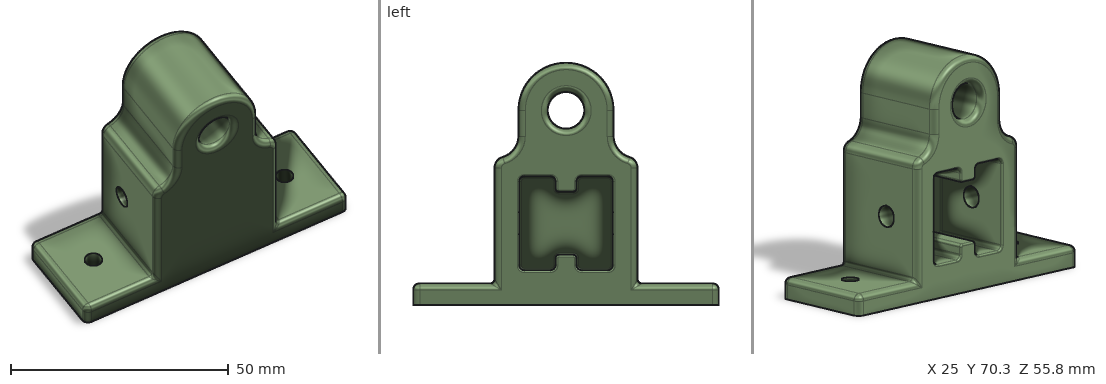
import cadquery as cq
import math

thickness = 25.0
base_length = 70.3
overall_height = 55.75

base_height = 5.05
base_hole_diameter = 4.0
base_hole_spacing = 51.2

tower_width = 32.9
head_radius = 11.0
bore_diameter = 8.4
bore_height = overall_height - head_radius

neck_bottom = 38.9
neck_radius = 5.0
shoulder_radius = 2.6

edge_radius = 1.55
foot_radius = 0.9

pocket_size = 21.6
pocket_depth = 20.0
pocket_height = 18.85
pocket_corner_radius = 1.2
key_corner_radius = 0.7
pocket_edge_radius = 0.46
key_width = 4.8
key_length = 3.5
screw_hole_diameter = 5.0

face_x = -thickness / 2

selection_margin = 0.35


def make_body():
    """Base, tower and head as one extruded outline, with all outer edges rounded."""
    half_base = base_length / 2
    half_tower = tower_width / 2

    neck_y = head_radius + neck_radius
    shoulder_y = half_tower - shoulder_radius
    centre_distance = neck_radius + shoulder_radius
    shoulder_z = neck_bottom - math.sqrt(centre_distance**2 - (neck_y - shoulder_y) ** 2)
    touch_angle = math.atan2(neck_bottom - shoulder_z, neck_y - shoulder_y)

    def on_neck(angle):
        return (neck_y + neck_radius * math.cos(angle), neck_bottom + neck_radius * math.sin(angle))

    def on_shoulder(angle):
        return (shoulder_y + shoulder_radius * math.cos(angle), shoulder_z + shoulder_radius * math.sin(angle))

    def mirrored(point):
        return (-point[0], point[1])

    touch = on_shoulder(touch_angle)
    shoulder_middle = on_shoulder(touch_angle / 2)
    neck_middle = on_neck(math.pi + touch_angle / 2)

    body = (
        cq.Workplane("YZ", origin=(face_x, 0, 0))
        .moveTo(-half_base, 0)
        .lineTo(half_base, 0)
        .lineTo(half_base, base_height)
        .lineTo(half_tower, base_height)
        .lineTo(half_tower, shoulder_z)
        .threePointArc(shoulder_middle, touch)
        .threePointArc(neck_middle, (head_radius, neck_bottom))
        .lineTo(head_radius, bore_height)
        .threePointArc((0, overall_height), (-head_radius, bore_height))
        .lineTo(-head_radius, neck_bottom)
        .threePointArc(mirrored(neck_middle), mirrored(touch))
        .threePointArc(mirrored(shoulder_middle), (-half_tower, shoulder_z))
        .lineTo(-half_tower, base_height)
        .lineTo(-half_base, base_height)
        .close()
        .extrude(thickness)
    )
    outline_edges = body.faces("<X or >X").edges("not <Z")
    end_edges = body.faces("<Y or >Y").edges("|X").edges("not <Z")
    return outline_edges.add(end_edges).fillet(edge_radius)


def edges_within(half_size, height):
    """Select edges whose centres lie in a square, half_size each way, around the given height."""
    reach = half_size + selection_margin
    return cq.selectors.BoxSelector((-thickness, -reach, height - reach), (thickness, reach, height + reach))


def round_foot(body):
    """Fillet the inner corners where the tower stands on the base."""
    corners = edges_within(tower_width / 2, base_height)
    return body.edges("|X").edges(corners).edges("<Z").fillet(foot_radius)


def make_pocket():
    """Square cavity with a key on its top and bottom walls."""
    mouth = cq.Workplane("YZ", origin=(face_x, 0, pocket_height))
    cavity = mouth.rect(pocket_size, pocket_size).extrude(pocket_depth)
    for side in (-1, 1):
        key_middle = side * (pocket_size - key_length) / 2
        cavity = cavity.cut(mouth.center(0, key_middle).rect(key_width, key_length).extrude(pocket_depth))
    cavity = cavity.faces("<Z or >Z").edges("|X").fillet(pocket_corner_radius)
    key_tips = edges_within(pocket_size / 2 - key_length, pocket_height)
    cavity = cavity.edges("|X").edges(key_tips).fillet(key_corner_radius)
    return cavity.faces(">X").edges().fillet(pocket_edge_radius)


def make_holes():
    """Vertical base holes and the cross hole through both pocket walls."""
    base_holes = (
        cq.Workplane("XY")
        .pushPoints([(0, side * base_hole_spacing / 2) for side in (-1, 1)])
        .circle(base_hole_diameter / 2)
        .extrude(base_height)
    )
    screw_hole = (
        cq.Workplane("XZ", origin=(face_x + pocket_depth / 2, 0, pocket_height))
        .circle(screw_hole_diameter / 2)
        .extrude(tower_width / 2, both=True)
    )
    return base_holes.union(screw_hole)


def make_bore():
    """Through bore of the bearing head."""
    return (
        cq.Workplane("YZ", origin=(face_x, 0, bore_height))
        .circle(bore_diameter / 2)
        .extrude(thickness)
    )


body = round_foot(make_body())
body = body.cut(make_bore())
body = body.faces("<X or >X").edges(edges_within(bore_diameter / 2, bore_height)).fillet(edge_radius)
body = body.cut(make_pocket())
body = body.faces("<X").edges(edges_within(pocket_size / 2, pocket_height)).fillet(pocket_edge_radius)
result = body.cut(make_holes())